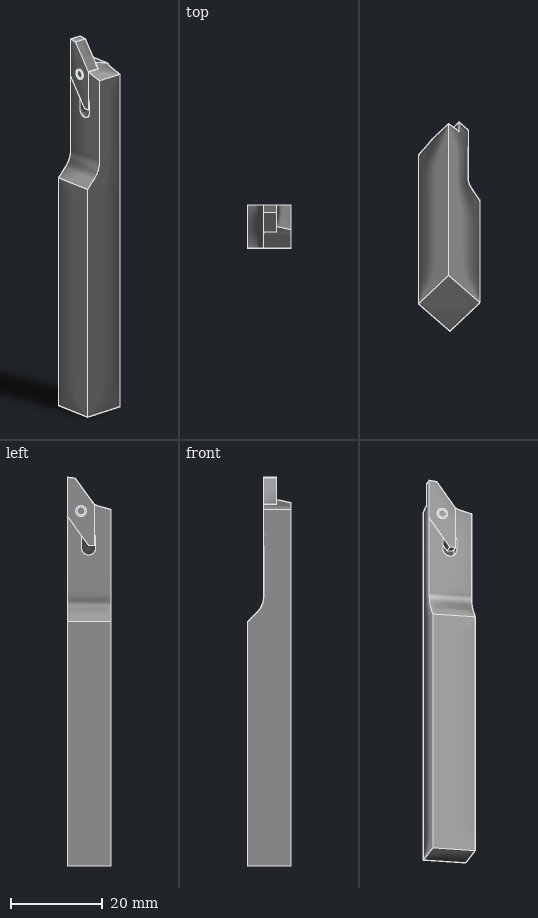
import cadquery as cq
import math

WIDTH = 9.53
LENGTH = 85.0

RECESS_DEPTH = 3.53
RECESS_ROUND_TOP_Z = 59.0
RECESS_RADIUS = 5.0
RAMP_ANGLE = math.radians(45)

FRONT_EDGE_Z = 77.95
FRONT_SLOPE = math.radians(15)
BLEND_RADIUS = 3.65
BLEND_START_Y = 2.65
BLEND_SWEEP = math.radians(40)

HEAD_TOP_Z = 80.0
HEAD_CREST_X = 6.95
HEAD_FALL = math.radians(13)

INSERT_SEAT_DEPTH = 2.85
INSERT_STEP = 0.03
INSERT_WIDTH = 5.92
INSERT_TIP_WIDTH = 1.7
INSERT_TIP_FALL = math.radians(7)
INSERT_BOTTOM_WIDTH = 1.3
INSERT_BOTTOM_Z = 70.05
INSERT_SLOPE = math.radians(54)

SLOT_WIDTH = 3.09
SLOT_NEAR_Y = 3.35
SLOT_BOTTOM_Z = 68.0
SLOT_LENGTH = 5.1

SCREW_Y = 6.57
SCREW_Z = 77.6
RING_OUTER_RADIUS = 1.17
RING_INNER_RADIUS = 0.85
RING_DEPTH = 0.1


def along_x(x):
    """YZ sketch plane at the given X, extruding towards +X."""
    return cq.Workplane("YZ", origin=(x, 0, 0))


def make_shank():
    """Bar with the recess, its round and its ramp, extruded across the full width."""
    round_x = RECESS_DEPTH - RECESS_RADIUS * (1 - math.cos(RAMP_ANGLE))
    round_z = RECESS_ROUND_TOP_Z - RECESS_RADIUS * math.sin(RAMP_ANGLE)
    middle_x = RECESS_DEPTH - RECESS_RADIUS * (1 - math.cos(RAMP_ANGLE / 2))
    middle_z = RECESS_ROUND_TOP_Z - RECESS_RADIUS * math.sin(RAMP_ANGLE / 2)
    ramp_foot_z = round_z - round_x * math.tan(RAMP_ANGLE)
    return (
        cq.Workplane("XZ")
        .moveTo(0, 0)
        .lineTo(WIDTH, 0)
        .lineTo(WIDTH, LENGTH)
        .lineTo(RECESS_DEPTH, LENGTH)
        .lineTo(RECESS_DEPTH, RECESS_ROUND_TOP_Z)
        .threePointArc((middle_x, middle_z), (round_x, round_z))
        .lineTo(0, ramp_foot_z)
        .close()
        .extrude(-WIDTH)
    )


def make_end_cut():
    """Space above the front slope and the concave blend that rises behind it."""
    start_z = FRONT_EDGE_Z + BLEND_START_Y * math.tan(FRONT_SLOPE)
    center_y = BLEND_START_Y - BLEND_RADIUS * math.sin(FRONT_SLOPE)
    center_z = start_z + BLEND_RADIUS * math.cos(FRONT_SLOPE)

    def blend_point(slope):
        return (center_y + BLEND_RADIUS * math.sin(slope), center_z - BLEND_RADIUS * math.cos(slope))

    end_slope = FRONT_SLOPE + BLEND_SWEEP
    end_y, end_z = blend_point(end_slope)
    exit_y = end_y + (LENGTH - end_z) / math.tan(end_slope)
    return (
        along_x(0)
        .moveTo(0, FRONT_EDGE_Z)
        .lineTo(BLEND_START_Y, start_z)
        .threePointArc(blend_point(FRONT_SLOPE + BLEND_SWEEP / 2), (end_y, end_z))
        .lineTo(exit_y, LENGTH)
        .lineTo(0, LENGTH)
        .close()
        .extrude(WIDTH)
    )


def make_top_cut():
    """Space above the head: flat as far as the crest, then falling towards +X."""
    side_z = HEAD_TOP_Z - (WIDTH - HEAD_CREST_X) * math.tan(HEAD_FALL)
    return (
        cq.Workplane("XZ")
        .moveTo(0, HEAD_TOP_Z)
        .lineTo(HEAD_CREST_X, HEAD_TOP_Z)
        .lineTo(WIDTH, side_z)
        .lineTo(WIDTH, LENGTH)
        .lineTo(0, LENGTH)
        .close()
        .extrude(-WIDTH)
    )


def insert_lower_edge():
    """Corner points of the insert's lower edge, from its -Y side to the back face."""
    near_y = WIDTH - INSERT_WIDTH
    bend_y = near_y + INSERT_BOTTOM_WIDTH
    back_z = INSERT_BOTTOM_Z + (WIDTH - bend_y) * math.tan(INSERT_SLOPE)
    return [(near_y, INSERT_BOTTOM_Z), (bend_y, INSERT_BOTTOM_Z), (WIDTH, back_z)]


def make_insert():
    """Slanted insert with parallel upper and lower slopes and a narrow tip."""
    near_y = WIDTH - INSERT_WIDTH
    tip_y = WIDTH - INSERT_TIP_WIDTH
    tip_z = LENGTH - INSERT_TIP_WIDTH * math.tan(INSERT_TIP_FALL)
    near_z = tip_z - (tip_y - near_y) * math.tan(INSERT_SLOPE)
    upper_edge = [(WIDTH, LENGTH), (tip_y, tip_z), (near_y, near_z)]
    return (
        along_x(RECESS_DEPTH - INSERT_STEP)
        .polyline(upper_edge + insert_lower_edge())
        .close()
        .extrude(INSERT_SEAT_DEPTH + INSERT_STEP)
    )


def make_insert_seat():
    """Pocket for the insert, open at the top and at the back."""
    open_top = [(WIDTH, LENGTH), (WIDTH - INSERT_WIDTH, LENGTH)]
    return (
        along_x(RECESS_DEPTH)
        .polyline(open_top + insert_lower_edge())
        .close()
        .extrude(INSERT_SEAT_DEPTH)
    )


def make_slot():
    """Upright slot as deep as the insert seat."""
    return (
        along_x(RECESS_DEPTH)
        .center(SLOT_NEAR_Y + SLOT_WIDTH / 2, SLOT_BOTTOM_Z + SLOT_LENGTH / 2)
        .slot2D(SLOT_LENGTH, SLOT_WIDTH, angle=90)
        .extrude(INSERT_SEAT_DEPTH)
    )


def make_ring():
    """Shallow annular groove around the screw."""
    return (
        along_x(RECESS_DEPTH - INSERT_STEP)
        .center(SCREW_Y, SCREW_Z)
        .circle(RING_OUTER_RADIUS)
        .circle(RING_INNER_RADIUS)
        .extrude(RING_DEPTH)
    )


holder = make_shank().cut(make_end_cut()).cut(make_top_cut())
holder = holder.cut(make_insert_seat()).cut(make_slot())
result = holder.union(make_insert()).cut(make_ring())